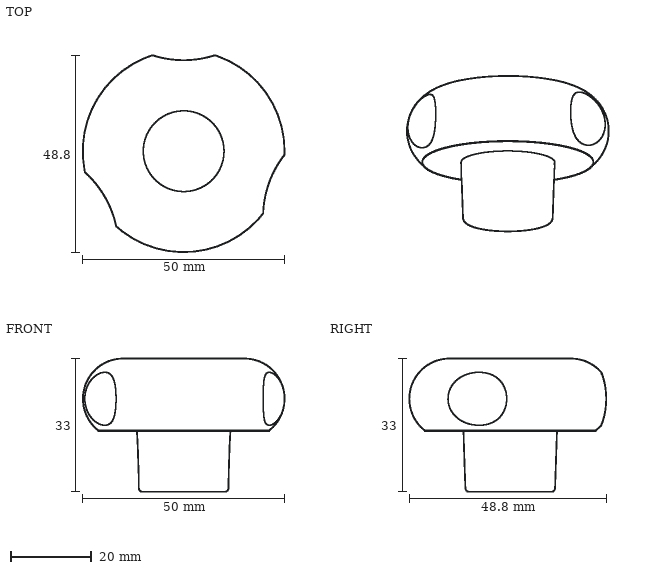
import cadquery as cq
import math

head_radius = 25.0
rim_radius = 10.0
top_disc_radius = 10.0
total_height = 33.0
lip_radius = 21.2
stem_height = 15.05

stem_top_radius = 11.6
stem_bottom_radius = 11.1
stem_fillet = 1.0

scallop_radius = 25.0
scallop_floor = 22.55
scallop_angles = (90, 210, 340)

rim_center_x = head_radius - rim_radius
rim_center_z = total_height - rim_radius


def rim_half_chord(offset):
    """Half chord of the rim's circular section at a distance from its centre."""
    return math.sqrt(rim_radius**2 - offset**2)


def make_head():
    """Revolve the half section of the dished, round-rimmed head."""
    lip_top_z = rim_center_z - rim_half_chord(lip_radius - rim_center_x)
    disc_z = rim_center_z + rim_half_chord(rim_center_x - top_disc_radius)
    profile = (
        cq.Workplane("XZ")
        .moveTo(0, stem_height)
        .lineTo(lip_radius, stem_height)
        .lineTo(lip_radius, lip_top_z)
        .threePointArc((head_radius, rim_center_z), (top_disc_radius, disc_z))
        .lineTo(0, disc_z)
        .close()
    )
    return profile.revolve(360, (0, 0, 0), (0, 1, 0))


def make_stem():
    """Revolve the tapered stem and round its lower edge."""
    profile = (
        cq.Workplane("YZ")
        .lineTo(stem_bottom_radius, 0)
        .lineTo(stem_top_radius, stem_height)
        .lineTo(0, stem_height)
        .close()
    )
    stem = profile.revolve(360, (0, 0, 0), (0, 1, 0))
    return stem.faces("<Z").edges().fillet(stem_fillet)


def make_scallop(angle):
    """Vertical cylinder that hollows the rim at the given angle."""
    distance = scallop_floor + scallop_radius
    cutter = cq.Workplane("XY").center(distance, 0).circle(scallop_radius).extrude(total_height)
    return cutter.rotate((0, 0, 0), (0, 0, 1), angle)


result = make_head().union(make_stem())
for scallop_angle in scallop_angles:
    result = result.cut(make_scallop(scallop_angle))